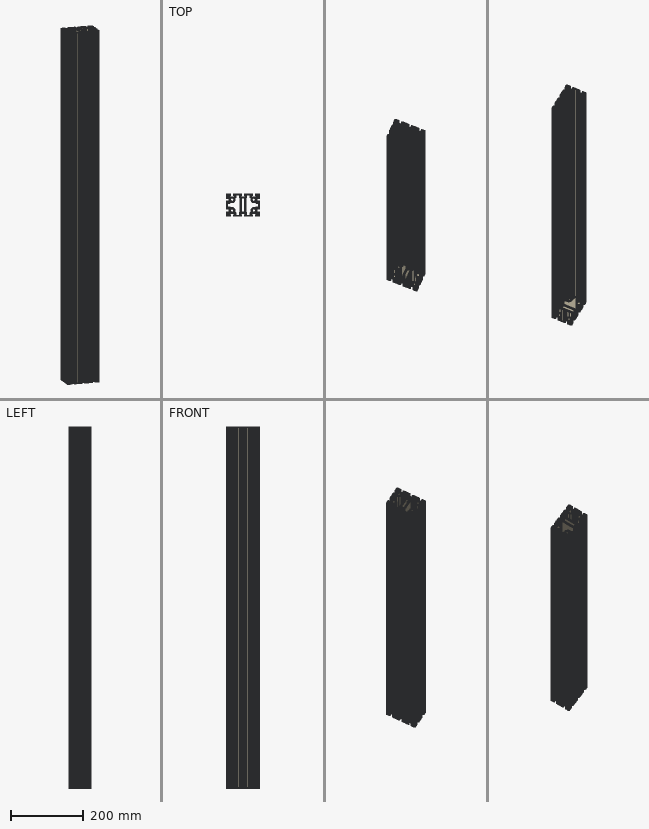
import cadquery as cq

WIDTH = 90.0
DEPTH = 60.0
LENGTH = 1000.0
PITCH = 30.0
SLOTS_X = 3
SLOTS_Y = 2
CORNER_RADIUS = 2.0

MOUTH_HALF = 4.7
CAVITY_HALF = 7.5
FLOOR_HALF = 5.5
LIP = 2.5
SLOT_DEPTH = 7.5

GROOVE_HALF = 1.0
GROOVE_DEPTH = 0.5

BORE_RADIUS = 5.5
BLOCK_CHAMFER = 5.5
WALL = 2.5
WEB_OUTSIDE = 7.5
CORNER_HOLE = 3.0
SKIN = 1.0
POCKET_HALF = 5.5

FACE_X = WIDTH / 2
FACE_Y = DEPTH / 2
BORE_X = PITCH
BORE_Y = PITCH / 2
BLOCK_HALF = PITCH / 2 - SLOT_DEPTH


def prism(points):
    """Full-length prism over a closed outline in the XY plane."""
    return cq.Workplane("XY").polyline(points).close().extrude(LENGTH)


def mirrored(half_outline):
    """Close a half outline by reflecting it about the Y axis."""
    return half_outline + [(-x, y) for x, y in reversed(half_outline)]


def slot(face):
    """T-slot with a grooved floor, cut inwards from the plane y = face."""
    floor = face - SLOT_DEPTH
    slope = CAVITY_HALF - FLOOR_HALF
    outline = mirrored([
        (MOUTH_HALF, face),
        (MOUTH_HALF, face - LIP),
        (CAVITY_HALF, face - LIP),
        (CAVITY_HALF, floor + slope),
        (FLOOR_HALF, floor),
    ])
    return prism(outline).union(groove(floor))


def groove(face):
    """V groove cut inwards from the plane y = face."""
    return prism([(GROOVE_HALF, face), (0, face - GROOVE_DEPTH), (-GROOVE_HALF, face)])


def chamber():
    """Large hollow on the -X side, between two bore blocks and a centre web."""
    block_x = -BORE_X + BLOCK_HALF
    block_y = BORE_Y - BLOCK_HALF
    pocket_x = -PITCH / 2
    pocket_left = pocket_x - POCKET_HALF
    pocket_right = pocket_x + POCKET_HALF
    floor_y = FACE_Y - SLOT_DEPTH
    upper = [
        (-FACE_X + SKIN, POCKET_HALF),
        (-FACE_X + SLOT_DEPTH, POCKET_HALF),
        (-FACE_X + SLOT_DEPTH + block_y - POCKET_HALF, block_y),
        (block_x - BLOCK_CHAMFER, block_y),
        (block_x, block_y + BLOCK_CHAMFER),
        (block_x, floor_y - (pocket_left - block_x)),
        (pocket_left, floor_y),
        (pocket_left, FACE_Y - SKIN),
        (pocket_right, FACE_Y - SKIN),
        (pocket_right, floor_y),
        (-WEB_OUTSIDE, floor_y - (-WEB_OUTSIDE - pocket_right)),
    ]
    return prism(upper + [(x, -y) for x, y in reversed(upper)])


def cut_side(solid, face, slot_count, turn):
    """Cut the slots and the grooves between them into one outer side of the profile."""
    first = -PITCH * (slot_count - 1) / 2
    for index in range(slot_count):
        tool = slot(face).translate((first + index * PITCH, 0, 0))
        solid = solid.cut(tool.rotate((0, 0, 0), (0, 0, 1), turn))
    for index in range(slot_count - 1):
        tool = groove(face).translate((first + (index + 0.5) * PITCH, 0, 0))
        solid = solid.cut(tool.rotate((0, 0, 0), (0, 0, 1), turn))
    return solid


profile = cq.Workplane("XY").rect(WIDTH, DEPTH).extrude(LENGTH)
profile = profile.edges("|Z").fillet(CORNER_RADIUS)
for turn in (0, 180):
    profile = cut_side(profile, FACE_Y, SLOTS_X, turn)
for turn in (90, 270):
    profile = cut_side(profile, FACE_X, SLOTS_Y, turn)

bores = cq.Workplane("XY").rect(2 * BORE_X, 2 * BORE_Y, forConstruction=True).vertices()
profile = profile.cut(bores.circle(BORE_RADIUS).extrude(LENGTH))

corner_x = FACE_X - SKIN - CORNER_HOLE / 2
corner_y = FACE_Y - SKIN - CORNER_HOLE / 2
corners = cq.Workplane("XY").rect(2 * corner_x, 2 * corner_y, forConstruction=True).vertices()
profile = profile.cut(corners.rect(CORNER_HOLE, CORNER_HOLE).extrude(LENGTH))

left_chamber = chamber()
profile = profile.cut(left_chamber).cut(left_chamber.mirror("YZ"))

centre_width = 2 * (WEB_OUTSIDE - WALL)
centre_depth = DEPTH - 2 * (SLOT_DEPTH + WALL)
result = profile.cut(cq.Workplane("XY").rect(centre_width, centre_depth).extrude(LENGTH))